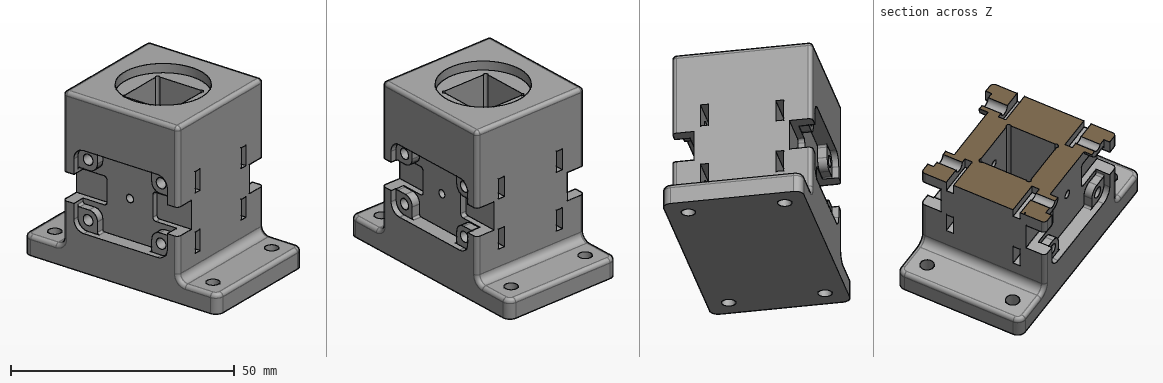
import cadquery as cq

flange_length = 54.0
width = 32.0
flange_height = 5.0
flange_corner_radius = 2.0
block_size = 32.0
block_height = 43.5
root_radius = 2.0
edge_radius = 1.0

mount_diameter = 3.2
mount_spacing_x = 44.0
mount_spacing_y = 22.0

recess_diameter = 21.5
recess_depth = 2.3
well_size = 12.8
well_floor = 5.0
well_relief_diameter = 1.0
well_relief_inset = 0.3

beam_diameter = 2.0
beam_height = 20.0

pocket_length = 26.0
pocket_corner_radius = 2.8
rim_depth = 1.5
pillar_corner_radius = 2.3
pillar_root_radius = 0.5
screw_diameter = 2.7
screw_spacing_x = 20.3
screw_to_pocket_edge = 2.8
screw_to_pillar_edge = 2.6
channel_height = 7.2
channel_step = 1.5
channel_inner_x = 6.4
channel_corner_radius = 0.8

front_screw_spacing_z = 15.0
front_pocket_level = beam_height
front_floor_depth = 3.5
back_screw_spacing_z = 12.8
back_pocket_level = 20.4
back_floor_depth = 3.7

nut_thickness = 1.8
nut_plane_y = 8.6
front_nut_height = 5.3
back_nut_height = 5.1

half_block = block_size / 2
half_width = width / 2


def body():
    profile = (
        cq.Workplane("XZ", origin=(0, half_width, 0))
        .moveTo(-flange_length / 2, 0)
        .lineTo(flange_length / 2, 0)
        .lineTo(flange_length / 2, flange_height)
        .lineTo(half_block, flange_height)
        .lineTo(half_block, block_height)
        .lineTo(-half_block, block_height)
        .lineTo(-half_block, flange_height)
        .lineTo(-flange_length / 2, flange_height)
        .close()
        .extrude(width)
    )
    root_edges = cq.selectors.BoxSelector(
        (-half_block - edge_radius, -width, flange_height - edge_radius),
        (half_block + edge_radius, width, flange_height + edge_radius),
    )
    rounded = profile.edges("|Y").edges(root_edges).fillet(root_radius)
    rounded = rounded.edges("|Z").edges("<X or >X").fillet(flange_corner_radius)
    upper_edges = cq.selectors.BoxSelector(
        (-flange_length, -width, flange_height - edge_radius),
        (flange_length, width, block_height + edge_radius),
    )
    blended = cq.selectors.BoxSelector(
        (-half_block - root_radius - edge_radius, -half_width + edge_radius, flange_height - edge_radius),
        (half_block + root_radius + edge_radius, half_width - edge_radius, block_height - edge_radius),
    )
    return rounded.edges(upper_edges - blended).fillet(edge_radius)


def mounting_holes():
    return (
        cq.Workplane("XY")
        .rect(mount_spacing_x, mount_spacing_y, forConstruction=True)
        .vertices()
        .circle(mount_diameter / 2)
        .extrude(flange_height)
    )


def top_well():
    recess_floor = block_height - recess_depth
    well_depth = recess_floor - well_floor
    recess = (
        cq.Workplane("XY").workplane(offset=recess_floor).circle(recess_diameter / 2).extrude(recess_depth)
    )
    floor_plane = cq.Workplane("XY").workplane(offset=well_floor)
    well = floor_plane.rect(well_size, well_size).extrude(well_depth)
    relief_spacing = well_size - 2 * well_relief_inset
    reliefs = (
        floor_plane.rect(relief_spacing, relief_spacing, forConstruction=True)
        .vertices()
        .circle(well_relief_diameter / 2)
        .extrude(well_depth)
    )
    return recess.union(well).union(reliefs)


def beam_hole():
    return (
        cq.Workplane("XZ", origin=(0, half_width, beam_height)).circle(beam_diameter / 2).extrude(width)
    )


def face_box(size_x, size_z, near_depth, far_depth, center_x=0.0):
    """Box between two depths below the front face, centred on height zero."""
    return (
        cq.Workplane("XZ", origin=(center_x, near_depth - half_width, 0))
        .rect(size_x, size_z)
        .extrude(near_depth - far_depth)
    )


def board_pocket(floor_depth, screw_spacing_z, nut_height):
    """Cutter for a front pocket with its channels, screw holes and nut slots, centred on height zero."""
    pocket_height = screw_spacing_z + 2 * screw_to_pocket_edge
    pillar_x = screw_spacing_x / 2 - screw_to_pillar_edge
    pillar_z = screw_spacing_z / 2 - screw_to_pillar_edge

    outline = face_box(pocket_length, pocket_height, 0, floor_depth).edges("|Y").fillet(pocket_corner_radius)

    cross = face_box(pocket_length, 2 * pillar_z, rim_depth, floor_depth)
    cross = cross.union(face_box(2 * pillar_x, pocket_height, rim_depth, floor_depth))
    pillar_corners = cq.selectors.BoxSelector(
        (-pillar_x - pillar_root_radius, -half_width, -pillar_z - pillar_root_radius),
        (pillar_x + pillar_root_radius, half_width, pillar_z + pillar_root_radius),
    )
    root_corners = cq.selectors.ParallelDirSelector(cq.Vector(0, 1, 0)) - pillar_corners
    cross = cross.edges(root_corners).fillet(pillar_root_radius)
    cross = cross.edges("|Y").edges(pillar_corners).fillet(pillar_corner_radius)
    above_pillars = face_box(pocket_length, pocket_height, 0, rim_depth)
    cutter = outline.intersect(above_pillars.union(cross))

    channel_length = half_block - channel_inner_x
    channel_x = (half_block + channel_inner_x) / 2
    for side in (-1, 1):
        channel = face_box(channel_length, channel_height, 0, floor_depth + channel_step, side * channel_x)
        inner_end = "<X" if side > 0 else ">X"
        cutter = cutter.union(channel.edges("|Y").edges(inner_end).fillet(channel_corner_radius))

    nut_far_depth = half_width - nut_plane_y + nut_thickness / 2
    nut_near_depth = nut_far_depth - nut_thickness
    nut_inner_x = screw_spacing_x / 2 - nut_height / 2
    nut_slot_length = half_block - nut_inner_x
    nut_slot_x = (half_block + nut_inner_x) / 2
    screws = (
        cq.Workplane("XZ", origin=(0, -half_width, 0))
        .rect(screw_spacing_x, screw_spacing_z, forConstruction=True)
        .vertices()
        .circle(screw_diameter / 2)
        .extrude(-nut_far_depth)
    )
    cutter = cutter.union(screws)
    for side in (-1, 1):
        slot = face_box(nut_slot_length, nut_height, nut_near_depth, nut_far_depth, side * nut_slot_x)
        for level in (-screw_spacing_z / 2, screw_spacing_z / 2):
            cutter = cutter.union(slot.translate((0, 0, level)))
    return cutter


front_pocket = board_pocket(front_floor_depth, front_screw_spacing_z, front_nut_height)
front_pocket = front_pocket.translate((0, 0, front_pocket_level))
back_pocket = board_pocket(back_floor_depth, back_screw_spacing_z, back_nut_height)
back_pocket = back_pocket.mirror("XZ").translate((0, 0, back_pocket_level))

result = body().cut(mounting_holes()).cut(top_well()).cut(beam_hole()).cut(front_pocket).cut(back_pocket)